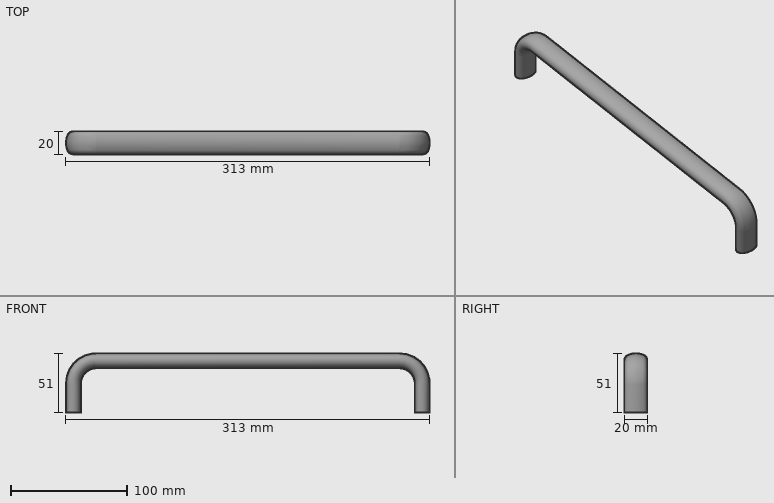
import cadquery as cq
import math

length = 313.0
height = 51.0
bar_width = 20.0
bar_depth = 13.0
end_radius = 5.5
outer_bend_radius = 26.0

half_width = bar_width / 2
half_depth = bar_depth / 2
bend_radius = outer_bend_radius - half_depth
leg_x = length / 2 - half_depth
bar_z = height - half_depth
leg_height = bar_z - bend_radius
straight_end_x = leg_x - bend_radius

end_center = half_width - end_radius
crown_radius = (end_center**2 + half_depth**2 - end_radius**2) / (2 * (half_depth - end_radius))
crown_center = crown_radius - half_depth
center_distance = crown_radius - end_radius
tangent_y = end_center * crown_radius / center_distance
tangent_x = end_radius * crown_center / center_distance


def oval_section():
    """Four-arc oval at the foot of the left leg, long axis along Y."""
    return (
        cq.Workplane("XY")
        .center(-leg_x, 0)
        .moveTo(-tangent_x, -tangent_y)
        .threePointArc((-half_depth, 0), (-tangent_x, tangent_y))
        .threePointArc((0, half_width), (tangent_x, tangent_y))
        .threePointArc((half_depth, 0), (tangent_x, -tangent_y))
        .threePointArc((0, -half_width), (-tangent_x, -tangent_y))
        .close()
    )


def centreline():
    """Path up the left leg, along the bar and down the right leg."""
    bend_mid_x = straight_end_x + bend_radius * math.cos(math.pi / 4)
    bend_mid_z = leg_height + bend_radius * math.sin(math.pi / 4)
    return (
        cq.Workplane("XZ")
        .moveTo(-leg_x, 0)
        .lineTo(-leg_x, leg_height)
        .threePointArc((-bend_mid_x, bend_mid_z), (-straight_end_x, bar_z))
        .lineTo(straight_end_x, bar_z)
        .threePointArc((bend_mid_x, bend_mid_z), (leg_x, leg_height))
        .lineTo(leg_x, 0)
    )


result = oval_section().sweep(centreline())